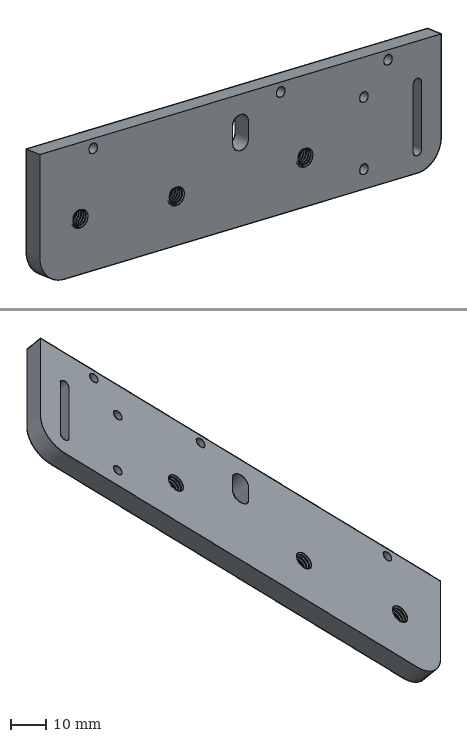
import cadquery as cq

thickness = 6.0
length = 150.0
height = 40.0
corner_radius = 9.0

plain_hole_diameter = 3.2
end_hole_y = 55.0
top_row_z = height / 2 - 3.0
pair_y = 46.0
pair_z = (8.0, -14.0)
plain_holes = [(end_hole_y, top_row_z), (15.0, top_row_z), (-end_hole_y, top_row_z)]
plain_holes += [(pair_y, z) for z in pair_z]

narrow_slot_width = plain_hole_diameter
narrow_slot_length = 23.4
narrow_slot_center = (66.0, -3.0)
wide_slot_width = 6.0
wide_slot_length = 11.0
wide_slot_center = (0.0, 8.4)

thread_minor_diameter = 5.1
thread_major_diameter = 6.0
thread_pitch = 1.0
thread_root_width = thread_pitch / 8
thread_mouth_width = 0.84 * thread_pitch
thread_inner_overlap = 0.2
thread_start_angle = -90.0
threaded_hole_y = 24.0
threaded_hole_z = -5.0
threaded_holes = [(threaded_hole_y, threaded_hole_z), (-threaded_hole_y, threaded_hole_z), (-60.0, -3.0)]

overrun = 1.5
cutter_length = thickness + 2 * overrun


def cutter_plane():
    """YZ sketch plane just outside the -X face; local x is Y, local y is Z."""
    return cq.Workplane("YZ", origin=(-thickness / 2 - overrun, 0, 0))


def make_plate():
    plate = cq.Workplane("XY").box(thickness, length, height)
    return plate.edges("|X and <Z").fillet(corner_radius)


def round_holes(centers, diameter):
    return cutter_plane().pushPoints(centers).circle(diameter / 2).extrude(cutter_length)


def upright_slot(center, slot_length, width):
    return cutter_plane().center(*center).slot2D(slot_length, width, 90).extrude(cutter_length)


def thread_groove():
    """Helical trapezoid groove along X, centred on the X axis and long enough to cross the plate."""
    inner_radius = thread_minor_diameter / 2 - thread_inner_overlap
    outer_radius = thread_major_diameter / 2
    helix = cq.Wire.makeHelix(thread_pitch, cutter_length, inner_radius)
    profile = cq.Workplane("XZ").polyline([
        (inner_radius, -thread_mouth_width / 2),
        (outer_radius, -thread_root_width / 2),
        (outer_radius, thread_root_width / 2),
        (inner_radius, thread_mouth_width / 2),
    ]).close()
    groove = profile.sweep(cq.Workplane(helix), isFrenet=True)
    groove = groove.rotate((0, 0, 0), (0, 1, 0), 90)
    groove = groove.rotate((0, 0, 0), (1, 0, 0), thread_start_angle)
    return groove.translate((-cutter_length / 2, 0, 0))


result = make_plate()
result = result.cut(round_holes(plain_holes, plain_hole_diameter))
result = result.cut(upright_slot(narrow_slot_center, narrow_slot_length, narrow_slot_width))
result = result.cut(upright_slot(wide_slot_center, wide_slot_length, wide_slot_width))

groove = thread_groove()
for y, z in threaded_holes:
    result = result.cut(groove.translate((0, y, z)))
result = result.cut(round_holes(threaded_holes, thread_minor_diameter))